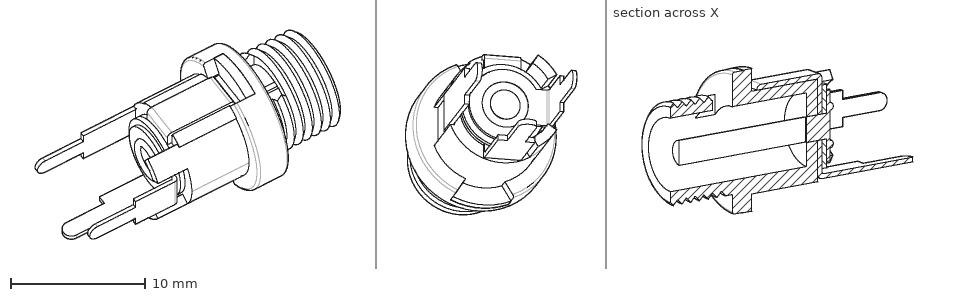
import cadquery as cq
import math


OVERALL_LENGTH = 22.1

THREAD_CREST_R = 3.98
THREAD_DEPTH = 0.4
THREAD_PITCH = 2 * THREAD_DEPTH
THREAD_COUNT = 6
FIRST_CREST_Y = 3.34
MOUTH_CHAMFER = 0.29
LAST_CREST_Y = FIRST_CREST_Y + THREAD_COUNT * THREAD_PITCH
MOUTH_Y = LAST_CREST_Y + MOUTH_CHAMFER
BORE_R = 2.83
BORE_FLOOR_Y = -3.98

FLANGE_R = 5.5
FLANGE_LENGTH = 2.75
FLANGE_ROUND = 0.2
KEY_R = 5.535
KEY_REAR_Y = 0.97
KEY_FRONT_Y = 1.8
KEY_HALF_WIDTH = 2.23
WINDOW_REACH = 1.5
WINDOW_FRONT_Y = FIRST_CREST_Y + WINDOW_REACH * THREAD_PITCH

BARREL_R = 4.2
BARREL_LENGTH = 5.04
PAD_R = 4.3
PAD_HALF_ANGLE = 35.0
EAR_INNER_R = 3.4
EAR_LENGTH = 2.6
EAR_DIRECTION = 45.0
EAR_SPREAD = 28.0

TAB_WIDTH = 2.8
TIP_WIDTH = 1.4
TAB_END_Y = MOUTH_Y - OVERALL_LENGTH
TAB_SHOULDER_Y = -9.65
GROOVE_WIDTH = 3.0
INNER_BEND_R = 0.13

SWITCH_SHEET = 0.35
SWITCH_OUTER = 3.98
SWITCH_FRONT_Y = -2.92
SWITCH_GROOVE_FLOOR = SWITCH_OUTER - SWITCH_SHEET

SLEEVE_SHEET = 0.4
STRIP_OUTER = 4.18
STRIP_FRONT_Y = 0.53
STRIP_GROOVE_FLOOR = STRIP_OUTER - SLEEVE_SHEET
SLEEVE_TAB_OUTER = 4.02
PLATE_R = 3.25
PLATE_FRONT_Y = -BARREL_LENGTH
PLATE_REAR_Y = PLATE_FRONT_Y - SLEEVE_SHEET

WASHER_THICKNESS = 0.42
WASHER_REAR_Y = PLATE_REAR_Y - WASHER_THICKNESS

CENTRE_SHEET = 0.3
CENTRE_TAB_OUTER = 3.65
CENTRE_DISC_R = 2.76
CENTRE_REAR_Y = WASHER_REAR_Y - CENTRE_SHEET
PIN_R = 0.97
PIN_TIP_Y = 7.51
PIN_SLIT = 0.2
HEAD_RING_R = 1.45
HEAD_RING_SECTION_R = 0.3


def disc(radius, front_y, rear_y):
    """Solid cylinder on the Y axis between two Y positions."""
    return cq.Workplane("XZ", origin=(0, front_y, 0)).circle(radius).extrude(front_y - rear_y)


def block(x_range, y_range, z_range):
    """Rectangular block given by its limits on each axis."""
    limits = (x_range, y_range, z_range)
    size = [high - low for low, high in limits]
    return cq.Workplane("XY").box(*size, centered=False).translate(tuple(low for low, _ in limits))


def turned_about_y(body, degrees):
    """Turn a body about the Y axis; +90 carries the +X side to the bottom."""
    return body.rotate((0, 0, 0), (0, 1, 0), degrees)


def ring_sector(inner_r, outer_r, middle, spread, front_y, rear_y):
    """Part of a ring about the Y axis; angles in degrees from +X toward +Z."""
    def at(radius, angle):
        return (radius * math.cos(math.radians(angle)), radius * math.sin(math.radians(angle)))

    start = middle - spread / 2
    end = middle + spread / 2
    return (
        cq.Workplane("XZ", origin=(0, front_y, 0))
        .moveTo(*at(inner_r, start))
        .lineTo(*at(outer_r, start))
        .threePointArc(at(outer_r, middle), at(outer_r, end))
        .lineTo(*at(inner_r, end))
        .threePointArc(at(inner_r, middle), at(inner_r, start))
        .close()
        .extrude(front_y - rear_y)
    )


def key_wedge(front_y, rear_y):
    """Upper wedge that narrows from the key width to the groove width at the barrel."""
    outer_z = math.sqrt(KEY_R**2 - KEY_HALF_WIDTH**2)
    groove_half = GROOVE_WIDTH / 2
    inner_z = math.sqrt(BARREL_R**2 - groove_half**2)
    slope = (KEY_HALF_WIDTH - groove_half) / (outer_z - inner_z)
    floor_half = groove_half - slope * (inner_z - BORE_R)
    top_half = KEY_HALF_WIDTH + slope * (KEY_R - outer_z)
    outline = [(-floor_half, BORE_R), (floor_half, BORE_R), (top_half, KEY_R), (-top_half, KEY_R)]
    return (
        cq.Workplane("XZ", origin=(0, front_y, 0)).polyline(outline).close().extrude(front_y - rear_y)
    )


def threaded_nose():
    profile = [(0, FLANGE_LENGTH), (THREAD_CREST_R, FLANGE_LENGTH), (THREAD_CREST_R, FIRST_CREST_Y)]
    for turn in range(THREAD_COUNT):
        crest_y = FIRST_CREST_Y + turn * THREAD_PITCH
        profile.append((THREAD_CREST_R - THREAD_DEPTH, crest_y + THREAD_PITCH / 2))
        profile.append((THREAD_CREST_R, crest_y + THREAD_PITCH))
    profile.append((THREAD_CREST_R - MOUTH_CHAMFER, MOUTH_Y))
    profile.append((0, MOUTH_Y))
    nose = cq.Workplane("XY").polyline(profile).close().revolve(360, (0, 0), (0, 1))
    window = block(
        (-KEY_HALF_WIDTH, KEY_HALF_WIDTH), (FLANGE_LENGTH, WINDOW_FRONT_Y), (0, THREAD_CREST_R)
    )
    return nose.cut(window)


def flange():
    body = disc(FLANGE_R, FLANGE_LENGTH, 0).edges().fillet(FLANGE_ROUND)
    key = key_wedge(KEY_FRONT_Y, KEY_REAR_Y).intersect(disc(KEY_R, KEY_FRONT_Y, KEY_REAR_Y))
    notch = key_wedge(KEY_REAR_Y, 0)
    for turn in (0, 180):
        body = body.cut(turned_about_y(notch, turn)).union(turned_about_y(key, turn))
    return body


def barrel():
    body = disc(BARREL_R, FLANGE_LENGTH, -BARREL_LENGTH)
    pad = ring_sector(BORE_R, PAD_R, 90, 2 * PAD_HALF_ANGLE, 0, -BARREL_LENGTH)
    body = body.union(pad)
    for side in (-1, 1):
        ear = ring_sector(
            EAR_INNER_R, BARREL_R, side * EAR_DIRECTION, EAR_SPREAD, 0, -BARREL_LENGTH - EAR_LENGTH
        )
        body = body.union(ear)
    return body


def make_housing():
    half = GROOVE_WIDTH / 2
    strip_groove = block((-half, half), (-BARREL_LENGTH, KEY_REAR_Y), (STRIP_GROOVE_FLOOR, KEY_R))
    switch_groove = block((-KEY_R, -SWITCH_GROOVE_FLOOR), (-BARREL_LENGTH, 0), (-half, half))
    return (
        flange()
        .union(barrel())
        .union(threaded_nose())
        .cut(strip_groove)
        .cut(switch_groove)
        .cut(disc(BORE_R, MOUTH_Y, BORE_FLOOR_Y))
        .cut(disc(PIN_R, BORE_FLOOR_Y, -BARREL_LENGTH))
    )


def sheet_end(outer, sheet, front_y, rear_y):
    """Flat strip on the +X side whose front outer corner is rounded over the full sheet."""
    return (
        cq.Workplane("XY", origin=(0, 0, -TAB_WIDTH / 2))
        .moveTo(outer - sheet, rear_y)
        .lineTo(outer, rear_y)
        .lineTo(outer, front_y - sheet)
        .radiusArc((outer - sheet, front_y), -sheet)
        .close()
        .extrude(TAB_WIDTH)
    )


def cut_to_tab(strip):
    """Trim a +X strip to the tab outline: shoulders, then a narrow tip with a round end."""
    half_tip = TIP_WIDTH / 2
    half_tab = TAB_WIDTH / 2
    round_y = TAB_END_Y + half_tip
    outline = (
        cq.Workplane("YZ")
        .moveTo(0, -half_tab)
        .lineTo(TAB_SHOULDER_Y, -half_tab)
        .lineTo(TAB_SHOULDER_Y, -half_tip)
        .lineTo(round_y, -half_tip)
        .threePointArc((TAB_END_Y, 0), (round_y, half_tip))
        .lineTo(TAB_SHOULDER_Y, half_tip)
        .lineTo(TAB_SHOULDER_Y, half_tab)
        .lineTo(0, half_tab)
        .close()
        .extrude(KEY_R)
    )
    return strip.intersect(outline)


def bend_fill(inner_face, rear_y):
    """Concave fillet where a plate's rear face meets the inner face of a +X tab."""
    return (
        cq.Workplane("XY", origin=(0, 0, -TAB_WIDTH / 2))
        .moveTo(inner_face, rear_y)
        .lineTo(inner_face, rear_y - INNER_BEND_R)
        .radiusArc((inner_face - INNER_BEND_R, rear_y), -INNER_BEND_R)
        .close()
        .extrude(TAB_WIDTH)
    )


def bent_tab(outer, sheet, plate_front_y):
    """Radial arm of a plate that bends into a tab on the +X side."""
    half = TAB_WIDTH / 2
    inner_face = outer - sheet
    arm = block((PIN_R, inner_face), (plate_front_y - sheet, plate_front_y), (-half, half))
    tab = cut_to_tab(sheet_end(outer, sheet, plate_front_y, TAB_END_Y))
    return tab.union(arm).union(bend_fill(inner_face, plate_front_y - sheet))


def make_switch_terminal():
    tab = cut_to_tab(sheet_end(SWITCH_OUTER, SWITCH_SHEET, SWITCH_FRONT_Y, TAB_END_Y))
    return turned_about_y(tab, 180)


def make_sleeve_terminal():
    half = TAB_WIDTH / 2
    plate = disc(PLATE_R, PLATE_FRONT_Y, PLATE_REAR_Y)
    tab = bent_tab(SLEEVE_TAB_OUTER, SLEEVE_SHEET, PLATE_FRONT_Y)
    strip = sheet_end(STRIP_OUTER, SLEEVE_SHEET, STRIP_FRONT_Y, PLATE_FRONT_Y)
    arm = block((PIN_R, STRIP_GROOVE_FLOOR), (PLATE_REAR_Y, PLATE_FRONT_Y), (-half, half))
    corner = (
        cq.Workplane("XY", origin=(0, 0, -half))
        .moveTo(STRIP_GROOVE_FLOOR, PLATE_FRONT_Y)
        .lineTo(STRIP_OUTER, PLATE_FRONT_Y)
        .radiusArc((STRIP_GROOVE_FLOOR, PLATE_REAR_Y), SLEEVE_SHEET)
        .close()
        .extrude(TAB_WIDTH)
    )
    strip = turned_about_y(strip.union(corner).union(arm), -90)
    body = plate.union(turned_about_y(tab, 90)).union(strip)
    return body.cut(disc(PIN_R, PLATE_FRONT_Y, PLATE_REAR_Y))


def make_washer():
    hole = disc(PIN_R, PLATE_REAR_Y, WASHER_REAR_Y)
    return disc(PLATE_R, PLATE_REAR_Y, WASHER_REAR_Y).cut(hole)


def make_centre_terminal():
    plate = disc(CENTRE_DISC_R, WASHER_REAR_Y, CENTRE_REAR_Y)
    slit = block((-PIN_SLIT / 2, PIN_SLIT / 2), (BORE_FLOOR_Y, PIN_TIP_Y), (-PIN_R, PIN_R))
    pin = disc(PIN_R, PIN_TIP_Y, CENTRE_REAR_Y).cut(slit)
    head_ring = (
        cq.Workplane("XY")
        .moveTo(HEAD_RING_R - HEAD_RING_SECTION_R, CENTRE_REAR_Y)
        .lineTo(HEAD_RING_R + HEAD_RING_SECTION_R, CENTRE_REAR_Y)
        .threePointArc(
            (HEAD_RING_R, CENTRE_REAR_Y - HEAD_RING_SECTION_R),
            (HEAD_RING_R - HEAD_RING_SECTION_R, CENTRE_REAR_Y),
        )
        .close()
        .revolve(360, (0, 0), (0, 1))
    )
    tab = bent_tab(CENTRE_TAB_OUTER, CENTRE_SHEET, WASHER_REAR_Y)
    return plate.union(tab).union(pin).union(head_ring)


housing = make_housing()
switch_terminal = make_switch_terminal()
sleeve_terminal = make_sleeve_terminal()
washer = make_washer()
centre_terminal = make_centre_terminal()

result = cq.Compound.makeCompound([
    housing.solids().val(),
    switch_terminal.solids().val(),
    sleeve_terminal.solids().val(),
    washer.solids().val(),
    centre_terminal.solids().val(),
])